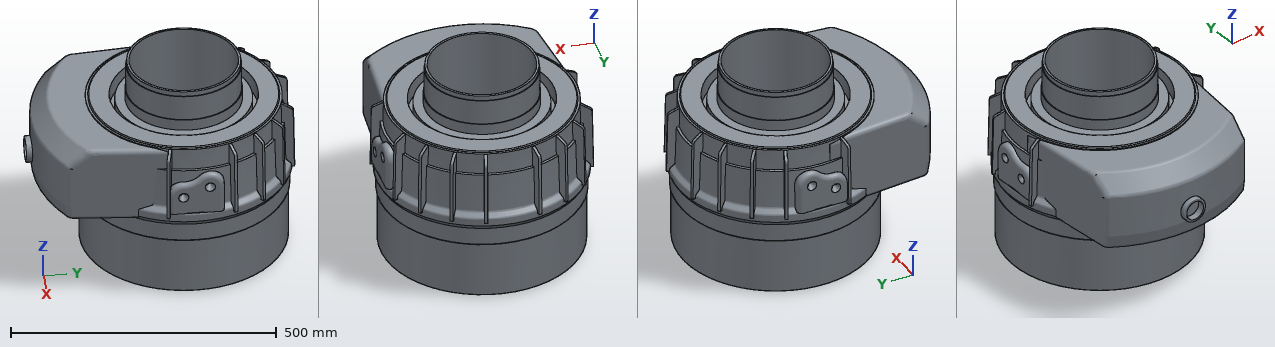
import cadquery as cq
import math

bore_radius = 103.0

foot_radius = 161.0
foot_height = 6.5
drum_radius = 197.5
drum_top = 121.0
drum_edge_fillet = 2.5

collar_radius = 200.0
collar_top = 160.0
collar_chamfer = 3.0

flange_radius = 204.8
flange_low_z = 168.5
flange_high_z = 184.5
ledge_z = 193.5
ledge_fillet = 5.0
band_top = 276.0
band_low_radius = 194.5
band_high_radius = 192.0
wall_low_radius = 186.5
wall_high_radius = 185.5
shell_top = 319.0
lid_radius = 181.0
lid_top = 321.5
lid_chamfer = 2.0

recess_radius = 140.5
recess_floor = 288.0

box_center_x = -1.5
box_bottom = 163.0
box_top = 317.0
box_root_y = -20.0
box_half_width_root = 184.5
box_half_width_front = 164.0
box_corner_y = -240.0
box_front_y = -290.0
box_slope_depth = 34.0
box_slope_height = 35.0
box_draft_depth = 4.0
box_draft_height = 29.5
box_corner_fillet = 16.0
box_brow_fillet = 10.0
box_top_fillet = 10.0
box_bottom_fillet = 7.0

rib_angles = (14.7, 32.7, 50.7, 68.7, 104.7)
rib_thickness = 6.0
rib_root_radius = 179.5
rib_high_radius = 208.0
rib_low_radius = 210.5
rib_bottom = 178.5
rib_shoulder_z = 306.5
rib_shoulder_fillet = 7.5
rib_top = 318.0

boss_face_x = 203.3
boss_root_x = 177.0
boss_bottom = 187.0
boss_radius = 28.0
boss_screws = ((26.5, 243.5), (-24.0, 223.0))
boss_edge_fillet = 9.5
screw_radius = 6.0
screw_depth = 17.5
sink_radius = 9.5
sink_depth = 4.0

socket_z = 218.5
socket_radius = 25.5
socket_bore_radius = 19.5
socket_bore_depth = 15.0
socket_front_y = flange_radius - 505.0
socket_length = 25.5
socket_fillet = 2.0

disc_radius = 130.0
disc_top = 313.0
pipe_base_radius = 110.5
pipe_base_top = 336.0
pipe_radius = 109.0
pipe_top = 388.0
lip_radius = 107.5
lip_top = 398.0


def turned_ring(profile):
    """Revolve a closed (radius, Z) profile about the vertical axis."""
    return cq.Workplane("XZ").polyline(profile).close().revolve(360, (0, 0, 0), (0, 1, 0))


def make_drum():
    foot = turned_ring([(bore_radius, 0), (foot_radius, 0), (foot_radius, foot_height), (bore_radius, foot_height)])
    barrel = (
        cq.Workplane("XY")
        .workplane(offset=foot_height)
        .circle(drum_radius)
        .extrude(drum_top - foot_height)
        .faces("<Z")
        .edges()
        .fillet(drum_edge_fillet)
        .cut(cq.Workplane("XY").circle(bore_radius).extrude(drum_top))
    )
    return foot.union(barrel)


def make_collar():
    return turned_ring([
        (bore_radius, drum_top),
        (collar_radius - collar_chamfer, drum_top),
        (collar_radius, drum_top + collar_chamfer),
        (collar_radius, collar_top),
        (bore_radius, collar_top),
    ])


def make_shell():
    """Solid of revolution: flange, banded wall and lid, still without the bore."""
    shell = turned_ring([
        (0, collar_top),
        (collar_radius, collar_top),
        (flange_radius, flange_low_z),
        (flange_radius, flange_high_z),
        (band_low_radius, ledge_z),
        (band_high_radius, band_top),
        (wall_low_radius, band_top),
        (wall_high_radius, shell_top),
        (lid_radius, shell_top),
        (lid_radius, lid_top - lid_chamfer),
        (lid_radius - lid_chamfer, lid_top),
        (0, lid_top),
    ])
    for height in (flange_high_z, ledge_z):
        shell = shell.edges(cq.selectors.NearestToPointSelector((0, 0, height))).fillet(ledge_fillet)
    return shell


def make_box():
    """Tapering box with a bowed front, a sloped top front edge and rounded edges."""
    box = (
        cq.Workplane("XY", origin=(box_center_x, 0, box_bottom))
        .moveTo(-box_half_width_root, box_root_y)
        .lineTo(-box_half_width_front, box_corner_y)
        .threePointArc((0, box_front_y), (box_half_width_front, box_corner_y))
        .lineTo(box_half_width_root, box_root_y)
        .close()
        .extrude(box_top - box_bottom)
    )
    bowed = "%CIRCLE"
    box = box.faces(">Z").edges(bowed).chamfer(box_slope_height, box_slope_depth)
    box = box.faces("<Z").edges(bowed).chamfer(box_draft_height, box_draft_depth)
    box = box.faces("<Y").edges(">Z").fillet(box_brow_fillet)
    box = box.edges("%HYPERBOLA").fillet(box_corner_fillet)
    box = box.faces(">Z").edges("not >Y").fillet(box_top_fillet)
    return box.faces("<Z").edges("not >Y").fillet(box_bottom_fillet)


def make_rib(angle):
    """One upright radial rib, turned by angle degrees from +Y towards -X."""
    return (
        cq.Workplane("YZ")
        .moveTo(rib_root_radius, rib_bottom)
        .lineTo(rib_low_radius, rib_bottom)
        .lineTo(rib_high_radius, rib_shoulder_z)
        .lineTo(wall_high_radius, rib_top)
        .lineTo(rib_root_radius, rib_top)
        .close()
        .extrude(rib_thickness / 2, both=True)
        .edges(cq.selectors.NearestToPointSelector((0, rib_high_radius, rib_shoulder_z)))
        .fillet(rib_shoulder_fillet)
        .rotate((0, 0, 0), (0, 0, 1), angle)
    )


def make_boss():
    """Screw boss on the -X side: an arch over each screw hole, joined by a hollow saddle curve."""
    (high_y, high_z), (low_y, low_z) = boss_screws
    low_top = low_z + boss_radius
    across = high_y - low_y
    down = high_z - low_top
    saddle_radius = (across**2 + down**2 - boss_radius**2) / (2 * (boss_radius + down))
    saddle_center_z = low_top + saddle_radius
    flank_angle = math.atan2(saddle_center_z - high_z, across)
    flank_y = high_y - boss_radius * math.cos(flank_angle)
    flank_z = high_z + boss_radius * math.sin(flank_angle)
    saddle_mid_angle = (math.pi / 2 + flank_angle) / 2
    saddle_mid_y = low_y + saddle_radius * math.cos(saddle_mid_angle)
    saddle_mid_z = saddle_center_z - saddle_radius * math.sin(saddle_mid_angle)
    return (
        cq.Workplane("YZ", origin=(-boss_face_x, 0, 0))
        .moveTo(high_y + boss_radius, boss_bottom)
        .lineTo(high_y + boss_radius, high_z)
        .threePointArc((high_y, high_z + boss_radius), (flank_y, flank_z))
        .threePointArc((saddle_mid_y, saddle_mid_z), (low_y, low_top))
        .radiusArc((low_y - boss_radius, low_z), -boss_radius)
        .lineTo(low_y - boss_radius, boss_bottom)
        .close()
        .extrude(boss_face_x - boss_root_x)
        .faces("<X")
        .edges("not <Z")
        .fillet(boss_edge_fillet)
    )


def make_screw_hole(y, z):
    """Countersunk hole in the -X boss, tapering to a point."""
    return (
        cq.Workplane("XY")
        .polyline([
            (-boss_face_x, 0),
            (-boss_face_x, sink_radius),
            (sink_depth - boss_face_x, screw_radius),
            (screw_depth - boss_face_x, 0),
        ])
        .close()
        .revolve(360, (0, 0, 0), (1, 0, 0))
        .translate((0, y, z))
    )


def add_bosses(body):
    boss = make_boss()
    holes = [make_screw_hole(y, z) for y, z in boss_screws]
    body = body.union(boss).union(boss.mirror("YZ"))
    for hole in holes:
        body = body.cut(hole).cut(hole.mirror("YZ"))
    return body


def add_cable_socket(body):
    """Short round socket on the bowed front, with a blind bore."""
    front = cq.Workplane("XZ", origin=(box_center_x, socket_front_y, socket_z))
    socket = front.circle(socket_radius).extrude(-socket_length).faces("<Y").edges().fillet(socket_fillet)
    bore = front.circle(socket_bore_radius).extrude(-socket_bore_depth)
    return body.union(socket).cut(bore)


def make_housing():
    housing = make_shell().union(make_box())
    for angle in rib_angles:
        housing = housing.union(make_rib(angle)).union(make_rib(-angle))
    housing = add_bosses(housing)
    housing = add_cable_socket(housing)
    recess = cq.Workplane("XY").workplane(offset=recess_floor).circle(recess_radius).extrude(lid_top - recess_floor)
    tube_hole = cq.Workplane("XY").circle(pipe_base_radius).extrude(lid_top)
    return housing.cut(recess).cut(tube_hole)


def make_inlet():
    """Disc with a stepped pipe above it and a plain tube running down through the housing."""
    return turned_ring([
        (bore_radius, collar_top),
        (pipe_base_radius, collar_top),
        (pipe_base_radius, recess_floor),
        (disc_radius, recess_floor),
        (disc_radius, disc_top),
        (pipe_base_radius, disc_top),
        (pipe_base_radius, pipe_base_top),
        (pipe_radius, pipe_base_top),
        (pipe_radius, pipe_top),
        (lip_radius, pipe_top),
        (lip_radius, lip_top),
        (bore_radius, lip_top),
    ])


drum = make_drum()
collar = make_collar()
housing = make_housing()
inlet = make_inlet()

result = cq.Compound.makeCompound([drum.val(), collar.val(), housing.val(), inlet.val()])